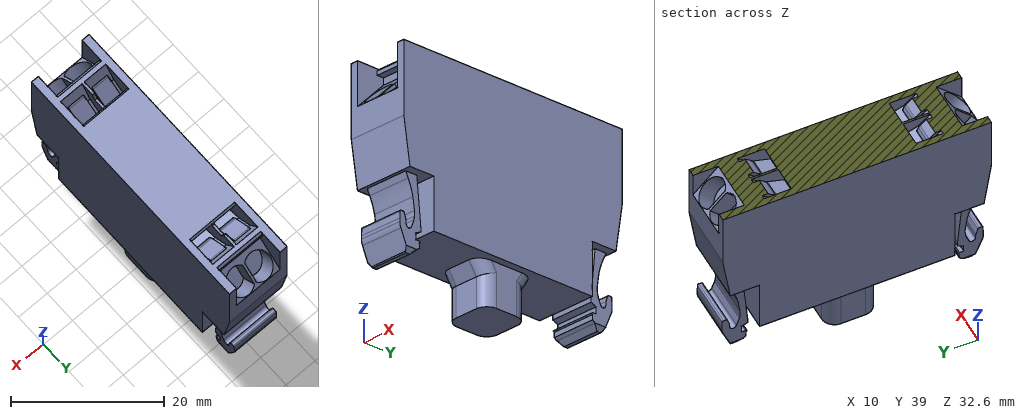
import cadquery as cq
import math


LENGTH = 39.0
WIDTH = 10.0
HEIGHT = 32.6
KINK_Z = 21.6
SHOULDER_Z = 14.6
BODY_BOTTOM_Z = 6.63
SHOULDER_HALF = 18.4
BODY_HALF = 14.15

PLUG_WIDTH = 7.55
PLUG_LENGTH = 7.35
PLUG_CORNER_RADIUS = 1.87
PLUG_FLARE_HALF = 5.0
PLUG_FLARE_HEIGHT = 2.03

CLIP_WIDTH = 7.3
CLIP_TIP_Z = 3.1
CLIP_TIP_HEIGHT = 0.78
CLIP_TIP_CHAMFER = 0.5

ENTRY_WIDTH = 7.55
ENTRY_TOP_Y = 15.68
LIP_CHAMFER = 0.35
LIP_DEPTH = 0.98
RAMP_TOP_DEPTH = 2.03
RAMP_BOTTOM_DEPTH = 6.63

HOLE_X = 1.6
HOLE_HALF_WIDTH = 2.0
HOLE_HALF_LENGTH = 2.35
HOLE_DEPTH = 3.05
HOLE_EDGE_GAP = 0.08
WEB = 0.4

POCKET_WIDTH = 7.8
POCKET_OUTER_Y = 14.98
POCKET_INNER_Y = 10.4
POCKET_CHAMFER = 0.27
WALL_FOOT_Y = 13.4
WALL_SLOPE = 59.0
FLOOR_SLOPE = 38.0
FLOOR_BEND_Y = 11.25
FLOOR_END_SLOPE = 18.0
FLOOR_END_Y = 8.2
WEB_LOW_Y = 12.48
WEB_HIGH_Y = 12.95
WEB_LOW_DEPTH = 1.1

BUTTON_WIDTH = 2.65
BUTTON_X = 2.05
BUTTON_RISE = 0.65
BUTTON_OUTER_Y = 14.6
BUTTON_INNER_Y = 11.05
BUTTON_END_SLOPE = 62.5
BUTTON_HEIGHT = 2.73
BUTTON_ROUND = 0.9


def drop(run, slope):
    """Height lost over a horizontal run at a slope in degrees."""
    return run * math.tan(math.radians(slope))


def prism(outline, width):
    """Extrude a closed (Y, Z) outline along X, centred on X = 0."""
    return outline.extrude(width / 2, both=True)


def symmetric_outline(half_outline):
    """Closed (Y, Z) outline from its +Y half and the mirror image of that half."""
    mirrored = [(-y, z) for y, z in reversed(half_outline)]
    return cq.Workplane("YZ").polyline(half_outline + mirrored).close()


def below_top(points):
    """Closed (Y, Z) outline from (Y, depth below the top face) points."""
    return cq.Workplane("YZ").polyline([(y, HEIGHT - depth) for y, depth in points]).close()


def make_housing():
    half_outline = [
        (LENGTH / 2, HEIGHT),
        (LENGTH / 2, KINK_Z),
        (SHOULDER_HALF, SHOULDER_Z),
        (BODY_HALF, SHOULDER_Z),
        (BODY_HALF, BODY_BOTTOM_Z),
    ]
    return prism(symmetric_outline(half_outline), WIDTH)


def make_plug():
    half = PLUG_LENGTH / 2
    half_outline = [
        (PLUG_FLARE_HALF, BODY_BOTTOM_Z),
        (half, BODY_BOTTOM_Z - PLUG_FLARE_HEIGHT),
        (half, 0),
    ]
    plug = prism(symmetric_outline(half_outline), PLUG_WIDTH)
    side_edges = plug.faces("<X or >X").edges("not #Z")
    return side_edges.fillet(PLUG_CORNER_RADIUS)


def make_clip():
    """Hooked spring clip hanging from the shoulder at the +Y end."""
    outline = (
        cq.Workplane("YZ")
        .moveTo(15.9, SHOULDER_Z)
        .lineTo(17.9, SHOULDER_Z)
        .lineTo(17.47, 13.7)
        .threePointArc((16.95, 12.48), (16.6, 11.27))
        .lineTo(16.35, 9.35)
        .threePointArc((16.3, 8.95), (16.35, 8.55))
        .lineTo(16.4, 8.0)
        .lineTo(16.85, 6.9)
        .threePointArc((17.35, 6.5), (17.82, 7.0))
        .lineTo(17.85, 7.6)
        .lineTo(18.17, 8.5)
        .threePointArc((18.25, 8.58), (18.35, 8.6))
        .lineTo(18.72, 8.6)
        .threePointArc((18.88, 8.55), (18.9, 8.4))
        .lineTo(18.95, 7.4)
        .lineTo(18.95, 6.9)
        .threePointArc((18.9, 6.47), (18.75, 6.05))
        .lineTo(17.55, 3.25)
        .lineTo(17.4, CLIP_TIP_Z)
        .lineTo(16.75, CLIP_TIP_Z)
        .lineTo(15.9, 3.82)
        .lineTo(15.5, 4.17)
        .lineTo(15.45, 4.9)
        .lineTo(15.3, 5.07)
        .lineTo(15.5, 5.23)
        .lineTo(16.1, 5.23)
        .lineTo(16.1, 6.25)
        .lineTo(15.2, 6.63)
        .lineTo(15.2, 7.35)
        .close()
    )
    half = CLIP_WIDTH / 2
    front_outline = [
        (-half, SHOULDER_Z),
        (-half, CLIP_TIP_Z + CLIP_TIP_HEIGHT),
        (-half + CLIP_TIP_CHAMFER, CLIP_TIP_Z),
        (half - CLIP_TIP_CHAMFER, CLIP_TIP_Z),
        (half, CLIP_TIP_Z + CLIP_TIP_HEIGHT),
        (half, SHOULDER_Z),
    ]
    tapered_slab = cq.Workplane("XZ").polyline(front_outline).close().extrude(-LENGTH / 2)
    return prism(outline, CLIP_WIDTH).intersect(tapered_slab)


def make_wire_entry():
    """Material removed for the wire entry at the +Y end: ramped recess and two holes."""
    lip_y = ENTRY_TOP_Y + LIP_CHAMFER
    ramp_rise = RAMP_BOTTOM_DEPTH - RAMP_TOP_DEPTH
    ramp_top_y = LENGTH / 2 - ramp_rise
    ramp_length = ramp_rise * math.sqrt(2)
    recess = prism(below_top([
        (ENTRY_TOP_Y, 0),
        (lip_y, LIP_CHAMFER),
        (lip_y, LIP_DEPTH),
        (ramp_top_y, LIP_DEPTH),
        (ramp_top_y, RAMP_TOP_DEPTH),
        (LENGTH / 2, RAMP_BOTTOM_DEPTH),
        (LENGTH / 2, 0),
    ]), ENTRY_WIDTH)

    hole_inset = (HOLE_HALF_LENGTH + HOLE_EDGE_GAP) / math.sqrt(2)
    ramp_plane = cq.Plane(
        origin=(0, LENGTH / 2 - hole_inset, HEIGHT - RAMP_BOTTOM_DEPTH + hole_inset),
        xDir=(1, 0, 0),
        normal=(0, 1, 1),
    )
    for side in (-1, 1):
        hole = (
            cq.Workplane(ramp_plane)
            .center(side * HOLE_X, 0)
            .ellipse(HOLE_HALF_WIDTH, HOLE_HALF_LENGTH)
            .extrude(-HOLE_DEPTH)
        )
        recess = recess.union(hole)

    hole_web = cq.Workplane(ramp_plane).rect(WEB, ramp_length * 2).extrude(-HOLE_DEPTH)
    return recess.cut(hole_web)


def make_pockets():
    """Material removed for the pair of tool pockets near the +Y end."""
    wall_top_y = POCKET_INNER_Y + POCKET_CHAMFER
    wall_foot_depth = drop(POCKET_OUTER_Y - WALL_FOOT_Y, WALL_SLOPE)
    floor_bend_depth = wall_foot_depth + drop(WALL_FOOT_Y - FLOOR_BEND_Y, FLOOR_SLOPE)
    floor_end_depth = floor_bend_depth + drop(FLOOR_BEND_Y - FLOOR_END_Y, FLOOR_END_SLOPE)
    inner_wall_foot_depth = POCKET_CHAMFER + drop(wall_top_y - FLOOR_END_Y, WALL_SLOPE)
    space = prism(below_top([
        (POCKET_OUTER_Y, 0),
        (WALL_FOOT_Y, wall_foot_depth),
        (FLOOR_BEND_Y, floor_bend_depth),
        (FLOOR_END_Y, floor_end_depth),
        (FLOOR_END_Y, inner_wall_foot_depth),
        (wall_top_y, POCKET_CHAMFER),
        (POCKET_INNER_Y, 0),
    ]), POCKET_WIDTH)

    web = prism(below_top([
        (POCKET_OUTER_Y, 0),
        (WEB_HIGH_Y, 0),
        (WEB_LOW_Y, WEB_LOW_DEPTH),
        (wall_top_y, WEB_LOW_DEPTH),
        (wall_top_y, POCKET_CHAMFER),
        (FLOOR_END_Y, POCKET_CHAMFER),
        (FLOOR_END_Y, floor_end_depth),
        (POCKET_OUTER_Y, floor_end_depth),
    ]), WEB)
    space = space.cut(web)

    outer_depth = wall_foot_depth - BUTTON_RISE - drop(BUTTON_OUTER_Y - WALL_FOOT_Y, FLOOR_SLOPE)
    inner_depth = outer_depth + drop(BUTTON_OUTER_Y - BUTTON_INNER_Y, FLOOR_SLOPE)
    end_run = BUTTON_HEIGHT / math.tan(math.radians(BUTTON_END_SLOPE))
    back_run = drop(BUTTON_HEIGHT, FLOOR_SLOPE)
    button = prism(below_top([
        (BUTTON_OUTER_Y, outer_depth),
        (BUTTON_INNER_Y, inner_depth),
        (BUTTON_INNER_Y - end_run, inner_depth + BUTTON_HEIGHT),
        (BUTTON_OUTER_Y + back_run, outer_depth + BUTTON_HEIGHT),
    ]), BUTTON_WIDTH).edges("|X").fillet(BUTTON_ROUND)
    for side in (-1, 1):
        space = space.cut(button.translate((side * BUTTON_X, 0, 0)))
    return space


def at_both_ends(solid):
    return solid.union(solid.mirror("XZ"))


result = (
    make_housing()
    .union(make_plug())
    .union(at_both_ends(make_clip()))
    .cut(at_both_ends(make_wire_entry()))
    .cut(at_both_ends(make_pockets()))
)